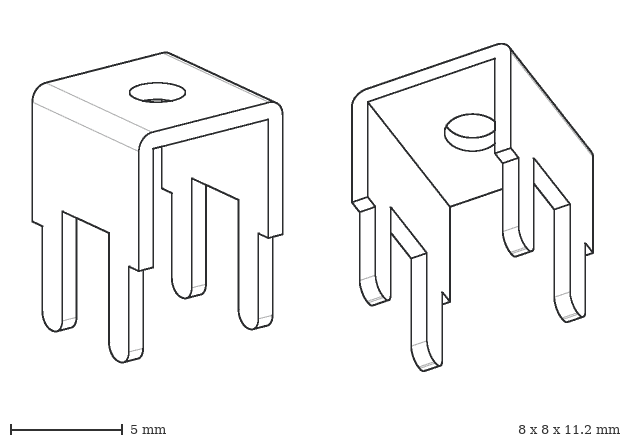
import cadquery as cq

width = 8.0
depth = 8.0
height = 11.2
thickness = 0.8
bend_radius = 0.75
hole_diameter = 2.5

shoulder_z = 4.75
slot_top_z = 5.9
leg_inset = 0.75
leg_width = 1.5
tip_radius = 0.7

leg_center_x = width / 2 - leg_inset - leg_width / 2
slot_width = 2 * leg_center_x - leg_width


def box_on(x_size, y_size, z_bottom, z_top):
    """Box centred on the Z axis between two heights."""
    box = cq.Workplane("XY").box(x_size, y_size, z_top - z_bottom, centered=(True, True, False))
    return box.translate((0, 0, z_bottom))


def make_channel():
    """Inverted U with rounded outer bends, sharp inner corners and a slot between the legs."""
    body = box_on(width, depth, shoulder_z, height).edges("|X and >Z").fillet(bend_radius)
    inside = box_on(width, depth - 2 * thickness, shoulder_z, height - thickness)
    slot = box_on(slot_width, depth, shoulder_z, slot_top_z)
    return body.cut(inside).cut(slot)


def make_leg(x, y):
    """Flat leg below the shoulder with a rounded tip."""
    leg = box_on(leg_width, thickness, 0, shoulder_z)
    return leg.edges("|Y and <Z").fillet(tip_radius).translate((x, y, 0))


result = make_channel()
wall_center_y = (depth - thickness) / 2
for x in (-leg_center_x, leg_center_x):
    for y in (-wall_center_y, wall_center_y):
        result = result.union(make_leg(x, y))

result = result.cut(cq.Workplane("XY").circle(hole_diameter / 2).extrude(height))